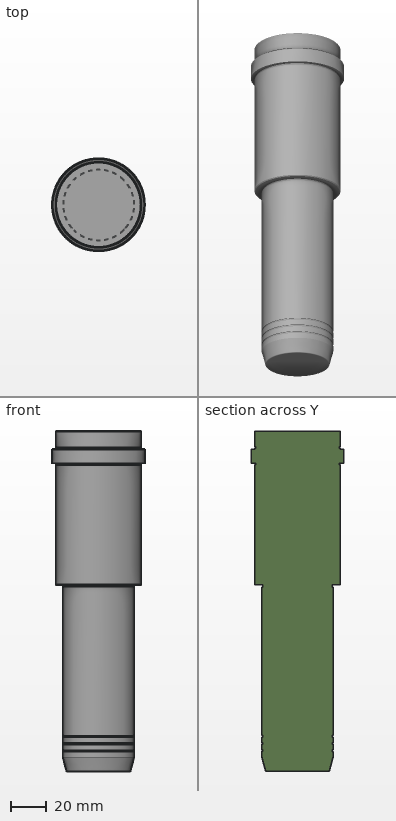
import cadquery as cq
import math

total_length = 190.0
shoulder_height = 104.0
flange_bottom = 172.0
flange_thickness = 8.0
flange_top = flange_bottom + flange_thickness

body_radius = 24.0
flange_radius = 26.0
shank_radius = 20.0

edge_chamfer = 0.5

body_relief_width = 1.0
body_relief_depth = 0.5

shank_relief_width = 1.0
shank_relief_depth = 0.5

lead_length = 8.0
lead_angle = 15.0
tip_radius = shank_radius - lead_length * math.tan(math.radians(lead_angle))
tip_fillet = 0.5

groove_count = 3
groove_pitch = 4.0
groove_width = 1.0
groove_depth = 0.5
first_groove_bottom = 11.0


def cylinder(radius, bottom, top):
    """Cylinder on the Z axis between two heights."""
    return cq.Workplane("XY").workplane(offset=bottom).circle(radius).extrude(top - bottom)


def revolve_about_axis(profile):
    """Full revolution of a closed XZ profile around the Z axis."""
    return profile.revolve(360, (0, 0, 0), (0, 1, 0))


def make_shank():
    """Guide shank whose lower end tapers to a rounded tip."""
    profile = (
        cq.Workplane("XZ")
        .lineTo(tip_radius, 0)
        .lineTo(shank_radius, lead_length)
        .lineTo(shank_radius, shoulder_height)
        .lineTo(0, shoulder_height)
        .close()
    )
    return revolve_about_axis(profile).faces("<Z").edges().fillet(tip_fillet)


def make_body():
    """Mounting body with both end edges chamfered."""
    return cylinder(body_radius, shoulder_height, total_length).faces("<Z or >Z").chamfer(edge_chamfer)


def make_flange():
    """Collar with a chamfered upper edge."""
    return cylinder(flange_radius, flange_bottom, flange_top).faces(">Z").chamfer(edge_chamfer)


def square_groove(radius, depth, bottom, width):
    """Ring that cuts a square groove into a cylinder of the given radius."""
    ring = cq.Workplane("XY").workplane(offset=bottom).circle(radius).circle(radius - depth)
    return ring.extrude(width)


def sloped_groove(radius, depth, bottom, width):
    """Ring that cuts a groove with a 45 degree lower wall and a square upper wall."""
    profile = (
        cq.Workplane("XZ")
        .moveTo(radius, bottom)
        .lineTo(radius - depth, bottom + depth)
        .lineTo(radius - depth, bottom + width)
        .lineTo(radius, bottom + width)
        .close()
    )
    return revolve_about_axis(profile)


body = make_body()
for relief_bottom in (flange_bottom - body_relief_width, flange_top):
    body = body.cut(sloped_groove(body_radius, body_relief_depth, relief_bottom, body_relief_width))

shank_relief_bottom = shoulder_height - shank_relief_width
shank = make_shank()
shank = shank.cut(square_groove(shank_radius, shank_relief_depth, shank_relief_bottom, shank_relief_width))
for index in range(groove_count):
    groove_bottom = first_groove_bottom + index * groove_pitch
    shank = shank.cut(sloped_groove(shank_radius, groove_depth, groove_bottom, groove_width))

result = shank.union(body).union(make_flange())